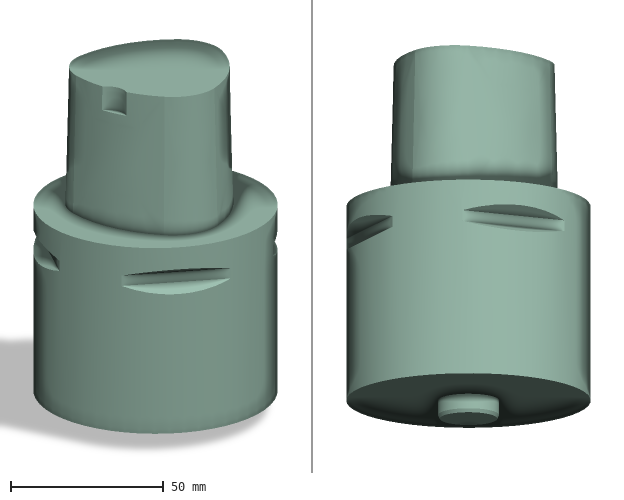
import cadquery as cq
import math

total_height = 119.0
shank_height = 48.0
body_height = 65.0
pin_height = total_height - shank_height - body_height
body_diameter = 80.0
pin_diameter = 20.0
pin_chamfer_height = 1.2
pin_chamfer_width = 0.6

lobe_reach = 29.5
flank_reach = 25.5
lobe_radius = 16.7
taper_ratio = 1 / 20
taper_angle = math.degrees(math.atan(taper_ratio / 2))

scoop_radius = 6.8
scoop_inner_y = -22.1
scoop_depth = 8.2

groove_count = 4
groove_first_angle = 45.0
groove_floor_distance = 35.6
groove_floor_height = 3.6
groove_wall_angle = 30.0
groove_below_shoulder = 12.0

body_radius = body_diameter / 2
shoulder_z = pin_height + body_height


def polar(radius, degrees):
    angle = math.radians(degrees)
    return radius * math.cos(angle), radius * math.sin(angle)


def make_shank():
    """Three lobe arcs joined by tangent flank arcs, tapering upward."""
    lobe_offset = lobe_reach - lobe_radius
    gap = flank_reach - lobe_radius
    flank_offset = (lobe_offset**2 - gap**2) / (2 * gap - lobe_offset)
    flank_radius = flank_reach + flank_offset

    half_angle = math.atan2(
        lobe_offset * math.sin(math.radians(60)),
        flank_offset + lobe_offset * math.cos(math.radians(60)),
    )
    joint_across = flank_radius * math.sin(half_angle)
    joint_out = flank_radius * math.cos(half_angle) - flank_offset
    joint_radius = math.hypot(joint_across, joint_out)
    joint_angle = math.degrees(math.atan2(joint_across, joint_out))

    first_flank = -90
    outline = cq.Workplane("XY").workplane(offset=shoulder_z)
    outline = outline.moveTo(*polar(joint_radius, first_flank - joint_angle))
    for flank in range(first_flank, first_flank + 360, 120):
        outline = outline.threePointArc(
            polar(flank_reach, flank),
            polar(joint_radius, flank + joint_angle),
        )
        outline = outline.threePointArc(
            polar(lobe_reach, flank + 60),
            polar(joint_radius, flank + 120 - joint_angle),
        )
    return outline.close().extrude(shank_height, taper=taper_angle)


def make_scoop():
    return (
        cq.Workplane("XY")
        .workplane(offset=total_height - scoop_depth)
        .center(0, scoop_inner_y - scoop_radius)
        .circle(scoop_radius)
        .extrude(scoop_depth)
    )


def make_body_and_pin():
    """Solid of revolution: body with a chamfered pin below it."""
    pin_radius = pin_diameter / 2
    return (
        cq.Workplane("XZ")
        .moveTo(0, 0)
        .lineTo(pin_radius - pin_chamfer_width, 0)
        .lineTo(pin_radius, pin_chamfer_height)
        .lineTo(pin_radius, pin_height)
        .lineTo(body_radius, pin_height)
        .lineTo(body_radius, shoulder_z)
        .lineTo(0, shoulder_z)
        .close()
        .revolve(360, (0, 0), (0, 1))
    )


def make_groove(angle):
    """Straight flat-bottomed groove with flared walls, facing the given angle."""
    depth = body_radius - groove_floor_distance
    floor_half = groove_floor_height / 2
    mouth_half = floor_half + depth * math.tan(math.radians(groove_wall_angle))
    middle_z = shoulder_z - groove_below_shoulder
    return (
        cq.Workplane("XZ")
        .moveTo(groove_floor_distance, middle_z - floor_half)
        .lineTo(body_radius, middle_z - mouth_half)
        .lineTo(body_radius, middle_z + mouth_half)
        .lineTo(groove_floor_distance, middle_z + floor_half)
        .close()
        .extrude(body_radius, both=True)
        .rotate((0, 0, 0), (0, 0, 1), angle)
    )


result = make_body_and_pin().union(make_shank().cut(make_scoop()))
for index in range(groove_count):
    result = result.cut(make_groove(groove_first_angle + index * 360 / groove_count))